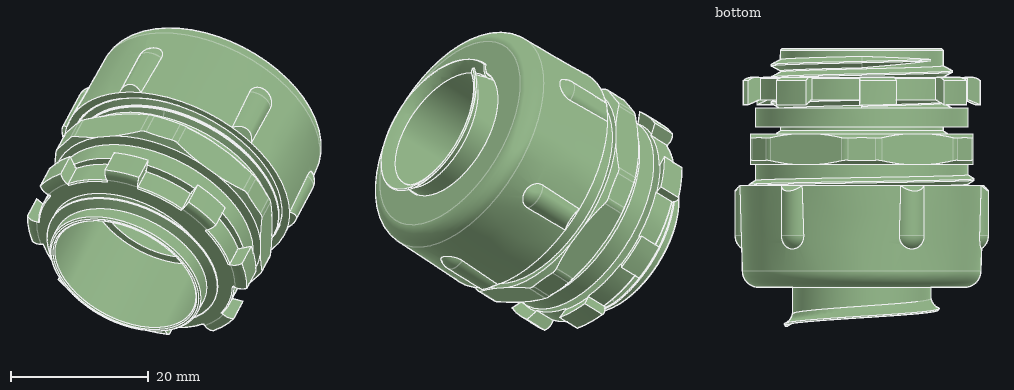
import cadquery as cq
import math


SPIGOT_R = 23.73 / 2
SPIGOT_EDGE_CHAMFER = 0.25
SPIGOT_BORE_R = 22.2 / 2
SPIGOT_BORE_EDGE_CHAMFER = 0.2
SPIGOT_BORE_DEPTH = 13.15
SPIGOT_THREAD_CREST_R = 26.45 / 2
SPIGOT_THREAD_PITCH = 1.8
SPIGOT_THREAD_BASE = 1.65
SPIGOT_THREAD_END_Y = 1.95
SPIGOT_THREAD_END_ANGLE = 270
SPIGOT_THREAD_TURNS = 4.0
SPIGOT_THREAD_RUN_OUT_ANGLE = 60
THREAD_CREST_WIDTH = 0.2
THREAD_SINK = 0.12
RUN_OUT_STEPS = 4

LOCKNUT_FRONT_Y = 4.15
LOCKNUT_DISC_BACK_Y = 7.48
LOCKNUT_R = 30.8 / 2
LOCKNUT_EDGE_CHAMFER = 0.2
LUG_COUNT = 8
LUG_ROOT_R = 31.2 / 2
LUG_TIP_R = 17.25
LUG_BACK_Y = 8.15
LUG_NOSE_LENGTH = 0.5
LUG_NOSE_BULGE = 0.15
LUG_NOSE_MIDDLE_Y = 4.25
LUG_EMBED = 0.4
LUG_START_ANGLE = 89
LUG_SPAN_ANGLE = 18

RING_FRONT_Y = 8.6
RING_BACK_Y = 11.4
CORE_R = 30.95 / 2
COLLAR_R = 25.0 / 2
COLLAR_LENGTH = 0.45
HEX_FRONT_Y = 12.35
HEX_BACK_Y = 16.85
HEX_ACROSS_FLATS = 32.4
HEX_ACROSS_CORNER_FLATS = 34.5
HEX_EDGE_FILLET = 1.8
HEX_END_R = 16.3
HEX_CHAMFER_LENGTH = 0.55
CORE_THREAD_CREST_R = 32.75 / 2
CORE_THREAD_PITCH = 1.6
CORE_THREAD_BASE = 1.37
CORE_THREAD_END_Y = 18.6
CORE_THREAD_END_ANGLE = 95
CORE_THREAD_TURNS = 2.5
CORE_THREAD_RUN_OUT_ANGLE = 75

NUT_FRONT_Y = 19.9
NUT_BACK_Y = 34.72
NUT_FRONT_R = 35.4 / 2
NUT_ROUND_R = 17.4
NUT_ROUNDING = 2.43
NUT_BORE_R = 16.5
NUT_WALL_Y = 31.95
NUT_HOLE_R = 10.23
RIB_COUNT = 6
RIB_START_ANGLE = 174.7
RIB_TIP_R = 18.5
RIB_RADIUS = 2.35
RIB_DOME_Y = 27.15

FERRULE_R = 20.2 / 2
BORE_R = 19.4 / 2
RIM_TOP_Y = 40.62
RIM_R = 11.28
RIM_LIP_WIDTH = 0.12
RIM_LIP_LENGTH = 0.25
RIM_OUTER_FLARE_START = 1.7
RIM_INNER_FLARE_START = 2.25
RIM_FLARE_MIDDLE = 0.85
RIM_FLARE_MIDDLE_RISE = 0.35
RIM_PITCH = 4.53
RIM_START_ANGLE = 152
RIM_SPAN_ANGLE = 351
RIM_CUT_OUTLINE = [(34.6, 4.7), (38.72, 2.65), (40.82, 2.02), (40.82, 5.35), (34.6, 5.35)]
RIM_STRIP_LENGTH = 6.87
TRIM_DEPTH = 0.2


def revolved(points):
    """Solid of revolution about Y from (radius, y) points."""
    return cq.Workplane("XY").polyline(points).close().revolve(360, (0, 0, 0), (0, 1, 0))


def cylinder(radius, y_from, y_to):
    return revolved([(0, y_from), (radius, y_from), (radius, y_to), (0, y_to)])


def turned(shape, angle):
    """Turn a shape about Y so that +X moves to the given angle in the XZ plane."""
    return shape.rotate((0, 0, 0), (0, 1, 0), -angle)


def helical(profile, pitch, turns, start_angle, start_y):
    """Sweep a (radius, forward offset) profile along a right-hand helix that advances toward -Y."""
    helix = cq.Wire.makeHelix(pitch, pitch * turns, BORE_R)
    swept = profile.sweep(cq.Workplane(helix), isFrenet=True)
    return (
        swept.rotate((0, 0, 0), (0, 0, 1), start_angle)
        .rotate((0, 0, 0), (1, 0, 0), 90)
        .translate((0, start_y, 0))
    )


def thread(root_r, crest_r, base, pitch, turns, end_angle, end_y, run_out_angle):
    """Ridge whose full depth stops at end_angle and end_y, then fades into the barrel."""
    sunk_r = root_r - THREAD_SINK
    half_crest = THREAD_CREST_WIDTH / 2
    flank = (base / 2 - half_crest) / (crest_r - root_r)

    def section(top_r):
        half_base = half_crest + flank * (top_r - sunk_r)
        return [(sunk_r, -half_base), (top_r, -half_crest), (top_r, half_crest), (sunk_r, half_base)]

    start_angle = end_angle - 360 * turns
    profile = cq.Workplane("XZ").polyline(section(crest_r)).close()
    ridge = helical(profile, pitch, turns, start_angle, end_y + pitch * turns)

    wires = []
    for step in range(RUN_OUT_STEPS + 1):
        fraction = step / RUN_OUT_STEPS
        turn = run_out_angle * fraction
        top_r = crest_r + (root_r - THREAD_SINK / 2 - crest_r) * fraction
        angle = math.radians(end_angle + turn)
        y = end_y - pitch * turn / 360
        corners = [cq.Vector(r * math.cos(angle), y - dy, r * math.sin(angle)) for r, dy in section(top_r)]
        wires.append(cq.Wire.makePolygon(corners, close=True))
    return ridge, cq.Workplane(cq.Solid.makeLoft(wires))


def core():
    """Turned core: spigot, collar, sealing ring and threaded barrel."""
    return revolved([
        (0, 0),
        (SPIGOT_R - SPIGOT_EDGE_CHAMFER, 0),
        (SPIGOT_R, SPIGOT_EDGE_CHAMFER),
        (SPIGOT_R, RING_FRONT_Y),
        (CORE_R, RING_FRONT_Y),
        (CORE_R, RING_BACK_Y),
        (SPIGOT_R, RING_BACK_Y),
        (SPIGOT_R, HEX_FRONT_Y - COLLAR_LENGTH),
        (COLLAR_R, HEX_FRONT_Y),
        (CORE_R, HEX_FRONT_Y),
        (CORE_R, NUT_WALL_Y),
        (0, NUT_WALL_Y),
    ])


def hexagon():
    """Hexagon with flatted, rounded corners and a conical chamfer on both ends."""
    def prism(across_flats, angle):
        plan = cq.Workplane("XZ").polygon(6, across_flats / math.cos(math.pi / 6))
        return turned(plan.extrude(HEX_FRONT_Y - HEX_BACK_Y), angle)

    blank = prism(HEX_ACROSS_FLATS, 30).intersect(prism(HEX_ACROSS_CORNER_FLATS, 0))
    blank = blank.edges("|Y").fillet(HEX_EDGE_FILLET).translate((0, HEX_FRONT_Y, 0))
    slope = (HEX_ACROSS_CORNER_FLATS / 2 - HEX_END_R) / HEX_CHAMFER_LENGTH
    middle_y = (HEX_FRONT_Y + HEX_BACK_Y) / 2
    middle_r = HEX_END_R + slope * (middle_y - HEX_FRONT_Y)
    double_cone = revolved([
        (0, HEX_FRONT_Y),
        (HEX_END_R, HEX_FRONT_Y),
        (middle_r, middle_y),
        (HEX_END_R, HEX_BACK_Y),
        (0, HEX_BACK_Y),
    ])
    return blank.intersect(double_cone)


def locknut():
    """Locknut disc whose lugs reach back past its rear face."""
    nut = revolved([
        (0, LOCKNUT_FRONT_Y),
        (LOCKNUT_R - LOCKNUT_EDGE_CHAMFER, LOCKNUT_FRONT_Y),
        (LOCKNUT_R, LOCKNUT_FRONT_Y + LOCKNUT_EDGE_CHAMFER),
        (LOCKNUT_R, LOCKNUT_DISC_BACK_Y),
        (0, LOCKNUT_DISC_BACK_Y),
    ])
    nose_y = LOCKNUT_FRONT_Y + LUG_NOSE_LENGTH
    nose_middle = ((LUG_ROOT_R + LUG_TIP_R) / 2 + LUG_NOSE_BULGE, LUG_NOSE_MIDDLE_Y)
    inner_r = LOCKNUT_R - LUG_EMBED
    lug = (
        cq.Workplane("XY")
        .moveTo(inner_r, LOCKNUT_FRONT_Y)
        .lineTo(LUG_ROOT_R, LOCKNUT_FRONT_Y)
        .threePointArc(nose_middle, (LUG_TIP_R, nose_y))
        .lineTo(LUG_TIP_R, LUG_BACK_Y)
        .lineTo(LUG_ROOT_R, LOCKNUT_DISC_BACK_Y)
        .lineTo(inner_r, LOCKNUT_DISC_BACK_Y)
        .close()
        .revolve(LUG_SPAN_ANGLE, (0, 0, 0), (0, -1, 0))
    )
    for i in range(LUG_COUNT):
        nut = nut.union(turned(lug, LUG_START_ANGLE + 360 / LUG_COUNT * i))
    return nut


def ferrule_rim():
    """Helical end of the ferrule: a tube strip that flares outward along its rim."""
    inner_r = BORE_R - TRIM_DEPTH
    profile = (
        cq.Workplane("XZ")
        .moveTo(inner_r, RIM_STRIP_LENGTH)
        .lineTo(FERRULE_R, RIM_STRIP_LENGTH)
        .lineTo(FERRULE_R, RIM_OUTER_FLARE_START)
        .threePointArc(
            (FERRULE_R + RIM_FLARE_MIDDLE_RISE, RIM_FLARE_MIDDLE),
            (RIM_R, RIM_LIP_LENGTH),
        )
        .lineTo(RIM_R - RIM_LIP_WIDTH, 0)
        .threePointArc(
            (BORE_R + RIM_FLARE_MIDDLE_RISE, RIM_FLARE_MIDDLE),
            (inner_r, RIM_INNER_FLARE_START),
        )
        .close()
    )
    rim = helical(profile, RIM_PITCH, RIM_SPAN_ANGLE / 360, RIM_START_ANGLE, RIM_TOP_Y)
    end_cut = cq.Workplane("YZ").polyline(RIM_CUT_OUTLINE).close().extrude(-2 * RIM_R)
    return rim.cut(end_cut)


def bores():
    """Wide spigot bore with a chamfered mouth, and the narrower through bore."""
    wide_bore = revolved([
        (0, 0),
        (SPIGOT_BORE_R + SPIGOT_BORE_EDGE_CHAMFER, 0),
        (SPIGOT_BORE_R, SPIGOT_BORE_EDGE_CHAMFER),
        (SPIGOT_BORE_R, SPIGOT_BORE_DEPTH),
        (0, SPIGOT_BORE_DEPTH),
    ])
    return wide_bore.union(cylinder(BORE_R, SPIGOT_BORE_DEPTH, RIM_TOP_Y))


def connector():
    spigot_thread = thread(
        SPIGOT_R, SPIGOT_THREAD_CREST_R, SPIGOT_THREAD_BASE, SPIGOT_THREAD_PITCH, SPIGOT_THREAD_TURNS,
        SPIGOT_THREAD_END_ANGLE, SPIGOT_THREAD_END_Y, SPIGOT_THREAD_RUN_OUT_ANGLE,
    )
    core_thread = thread(
        CORE_R, CORE_THREAD_CREST_R, CORE_THREAD_BASE, CORE_THREAD_PITCH, CORE_THREAD_TURNS,
        CORE_THREAD_END_ANGLE, CORE_THREAD_END_Y, CORE_THREAD_RUN_OUT_ANGLE,
    )
    body = core()
    for ridge in (*spigot_thread, *core_thread):
        body = body.union(ridge)
    body = body.union(hexagon()).union(locknut()).union(ferrule_rim())
    return body.cut(bores()).solids()


def gland_nut():
    """Cup-shaped cap with a rounded back edge and six domed grip ribs."""
    arc_cos = math.cos(math.pi / 4)
    round_flat_y = NUT_BACK_Y - NUT_ROUNDING
    round_center_r = NUT_ROUND_R - NUT_ROUNDING
    nut = (
        cq.Workplane("XY")
        .moveTo(NUT_BORE_R, NUT_FRONT_Y)
        .lineTo(NUT_FRONT_R, NUT_FRONT_Y)
        .lineTo(NUT_ROUND_R, round_flat_y)
        .threePointArc(
            (round_center_r + NUT_ROUNDING * arc_cos, round_flat_y + NUT_ROUNDING * arc_cos),
            (round_center_r, NUT_BACK_Y),
        )
        .lineTo(NUT_HOLE_R, NUT_BACK_Y)
        .lineTo(NUT_HOLE_R, NUT_WALL_Y)
        .lineTo(NUT_BORE_R, NUT_WALL_Y)
        .close()
        .revolve(360, (0, 0, 0), (0, 1, 0))
    )
    nut = turned(nut, RIB_START_ANGLE - 180 / RIB_COUNT)
    rib_axis_r = RIB_TIP_R - RIB_RADIUS
    rib = cylinder(RIB_RADIUS, NUT_FRONT_Y, RIB_DOME_Y)
    rib = rib.union(cq.Workplane("XY").sphere(RIB_RADIUS).translate((0, RIB_DOME_Y, 0)))
    rib = rib.translate((rib_axis_r, 0, 0))
    bevel_rise = RIB_TIP_R - NUT_FRONT_R
    envelope = revolved([
        (NUT_BORE_R, NUT_FRONT_Y),
        (NUT_FRONT_R, NUT_FRONT_Y),
        (RIB_TIP_R, NUT_FRONT_Y + bevel_rise),
        (RIB_TIP_R, NUT_BACK_Y),
        (NUT_BORE_R, NUT_BACK_Y),
    ])
    rib = rib.intersect(envelope)
    for i in range(RIB_COUNT):
        nut = nut.union(turned(rib, RIB_START_ANGLE + 360 / RIB_COUNT * i))
    return nut.solids()


result = cq.Compound.makeCompound([connector().val(), gland_nut().val()])